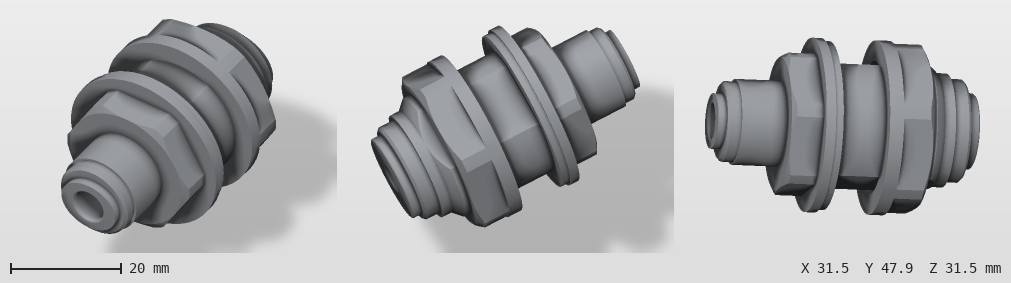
import cadquery as cq
import math

LENGTH = 47.9

front_sleeve_half_x = 5.85
front_sleeve_half_z = 5.0
front_sleeve_end = 1.65
front_sleeve_face_angle = math.radians(3)
rear_sleeve_half_x = 8.15
rear_sleeve_half_z = 6.85
rear_sleeve_start = 46.15
rear_sleeve_chamfer = 0.2

front_insert_radius = 7.3
front_insert_chamfer = 0.5
front_insert_end = 4.05
barrel_radius = 7.75
barrel_end = 12.3

hex_half_flats = 12.0
hex_corner_radius = 13.25
hex_end = 17.9
flange_radius = 15.75
flange_end = 19.7
washer_radius = 15.3
washer_end = 21.15

body_radius = 12.0
body_half_flats = 10.3
body_end = 42.95
nose_radius = body_half_flats
nose_start = 41.0
nose_cone_length = body_radius - nose_radius

rear_insert_radius = 9.35
rear_insert_chamfer = 0.5

nut_start = 29.65
nut_flange_end = 32.25
nut_end = 38.2
nut_half_flats = 14.25
nut_corner_radius = flange_radius

corner_cone_angle = math.radians(30)

bore_mouth_fillet = 0.4
bore_radius = 3.15
bore_depth = 14.35
through_hole_radius = 2.7


def section(start):
    """Sketch plane across the axis, extruding toward +Y."""
    return cq.Workplane("XZ", origin=(0, start, 0)).transformed(rotate=(180, 0, 0))


def disc(radius, start, end):
    return section(start).circle(radius).extrude(end - start)


def sleeve(half_x, half_z, start, end):
    return section(start).ellipse(half_x, half_z).extrude(end - start)


def hexagon(half_flats, corner_radius, start, end):
    """Hexagonal prism, flats up and down, with its corners rounded to a cylinder."""
    across_corners = 2 * half_flats / math.cos(math.pi / 6)
    prism = section(start).polygon(6, across_corners).extrude(end - start)
    return prism.intersect(disc(corner_radius, start, end))


def coned_disc(tip_radius, radius, start, end, coned_face, angle=corner_cone_angle):
    """Cylinder with one end coned down to a smaller tip radius."""
    drop = radius - tip_radius
    rise = drop * math.tan(angle)
    return disc(radius, start, end).faces(coned_face).chamfer(rise, drop)


def make_front_sleeve():
    """Elliptical sleeve with a slightly coned face and a rounded bore mouth."""
    slope = front_sleeve_face_angle
    tip_loss = bore_mouth_fillet * (math.tan(slope) + 1 / math.cos(slope) - 1)
    start = -tip_loss
    collar = sleeve(front_sleeve_half_x, front_sleeve_half_z, start, front_sleeve_end)
    face_cone = coned_disc(bore_radius, front_insert_radius, start, front_sleeve_end, "<Y", slope)
    collar = collar.intersect(face_cone).cut(disc(bore_radius, start, front_sleeve_end))
    return collar.edges("<Y").fillet(bore_mouth_fillet)


def make_front_end():
    insert = disc(front_insert_radius, front_sleeve_end, front_insert_end)
    insert = insert.faces("<Y").chamfer(front_insert_chamfer)
    hex_block = hexagon(hex_half_flats, hex_corner_radius, barrel_end, hex_end)
    hex_block = hex_block.intersect(
        coned_disc(hex_half_flats, hex_corner_radius, barrel_end, hex_end, "<Y")
    )
    return (
        make_front_sleeve()
        .union(insert)
        .union(disc(barrel_radius, front_insert_end, barrel_end))
        .union(hex_block)
        .union(disc(flange_radius, hex_end, flange_end))
        .union(disc(washer_radius, flange_end, washer_end))
    )


def make_body():
    thread = disc(body_radius, washer_end, nose_start).faces(">Y").chamfer(nose_cone_length)
    thread = thread.union(disc(nose_radius, nose_start, body_end))
    flats = section(washer_end).rect(2 * body_radius, 2 * body_half_flats).extrude(body_end - washer_end)
    return thread.intersect(flats)


def make_nut():
    hex_block = hexagon(nut_half_flats, nut_corner_radius, nut_flange_end, nut_end)
    hex_block = hex_block.intersect(
        coned_disc(nut_half_flats, nut_corner_radius, nut_flange_end, nut_end, ">Y")
    )
    nut = hex_block.union(disc(flange_radius, nut_start, nut_flange_end))
    return nut.cut(disc(body_radius, nut_start, nut_end))


def make_rear_end():
    insert = disc(rear_insert_radius, body_end, rear_sleeve_start)
    insert = insert.faces(">Y").chamfer(rear_insert_chamfer)
    collar = sleeve(rear_sleeve_half_x, rear_sleeve_half_z, rear_sleeve_start, LENGTH)
    collar = collar.faces(">Y").chamfer(rear_sleeve_chamfer)
    return insert.union(collar)


def make_bore():
    return disc(bore_radius, 0, bore_depth).union(disc(through_hole_radius, 0, LENGTH))


result = (
    make_front_end()
    .union(make_body())
    .union(make_nut())
    .union(make_rear_end())
    .cut(make_bore())
)